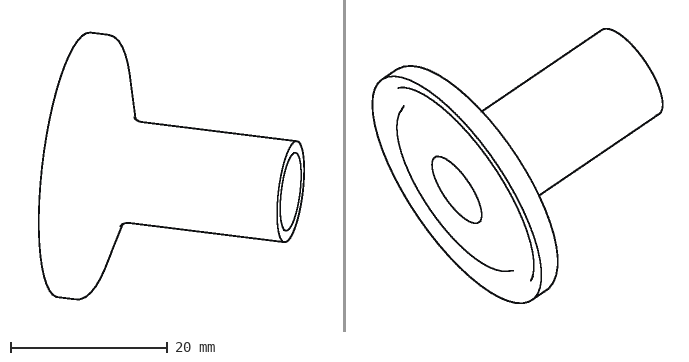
import cadquery as cq
import math

length = 28.6
flange_radius = 17.0
tube_radius = 6.5
bore_radius = 5.0

rim_corner_start = 2.3
rim_corner_radius = 0.8
cone_angle = math.radians(20)
neck_fillet_radius = 2.0

groove_center_radius = 13.77
groove_half_width = 2.0
groove_arc_radius = 1.2
groove_edge_radius = 0.8
groove_flank_angle = math.radians(20)


def revolve_about_x(outline):
    return outline.close().revolve(360, (0, 0, 0), (1, 0, 0))


def make_body():
    sin_a = math.sin(cone_angle)
    cos_a = math.cos(cone_angle)
    half_angle = (math.pi / 2 - cone_angle) / 2

    corner_y = flange_radius - rim_corner_radius
    corner_mid = (
        rim_corner_start + rim_corner_radius * math.sin(half_angle),
        corner_y + rim_corner_radius * math.cos(half_angle),
    )
    cone_start = (rim_corner_start + rim_corner_radius * cos_a, corner_y + rim_corner_radius * sin_a)

    neck_y = tube_radius + neck_fillet_radius
    cone_end_y = neck_y - neck_fillet_radius * sin_a
    cone_end_x = cone_start[0] + (cone_start[1] - cone_end_y) * math.tan(cone_angle)
    neck_x = cone_end_x + neck_fillet_radius * cos_a
    neck_mid = (
        neck_x - neck_fillet_radius * math.sin(half_angle),
        neck_y - neck_fillet_radius * math.cos(half_angle),
    )

    outline = (
        cq.Workplane("XY")
        .moveTo(0, bore_radius)
        .lineTo(0, flange_radius)
        .lineTo(rim_corner_start, flange_radius)
        .threePointArc(corner_mid, cone_start)
        .lineTo(cone_end_x, cone_end_y)
        .threePointArc(neck_mid, (neck_x, tube_radius))
        .lineTo(length, tube_radius)
        .lineTo(length, bore_radius)
    )
    return revolve_about_x(outline)


def make_groove():
    sin_f = math.sin(groove_flank_angle)
    cos_f = math.cos(groove_flank_angle)
    flank_top_x = groove_edge_radius * (1 - sin_f)
    flank_top_offset = groove_half_width - groove_edge_radius * cos_f
    flank_end_offset = groove_arc_radius * cos_f
    flank_end_x = flank_top_x + (flank_top_offset - flank_end_offset) / math.tan(groove_flank_angle)
    floor_x = flank_end_x + groove_arc_radius * (1 - sin_f)
    edge_half_angle = (math.pi / 2 - groove_flank_angle) / 2
    edge_mid_x = groove_edge_radius * (1 - math.cos(edge_half_angle))
    edge_mid_offset = groove_half_width - groove_edge_radius * math.sin(edge_half_angle)

    def point(x, offset):
        return (x, groove_center_radius + offset)

    outline = (
        cq.Workplane("XY")
        .moveTo(*point(0, -groove_half_width))
        .threePointArc(point(edge_mid_x, -edge_mid_offset), point(flank_top_x, -flank_top_offset))
        .lineTo(*point(flank_end_x, -flank_end_offset))
        .threePointArc(point(floor_x, 0), point(flank_end_x, flank_end_offset))
        .lineTo(*point(flank_top_x, flank_top_offset))
        .threePointArc(point(edge_mid_x, edge_mid_offset), point(0, groove_half_width))
    )
    return revolve_about_x(outline)


result = make_body().cut(make_groove())